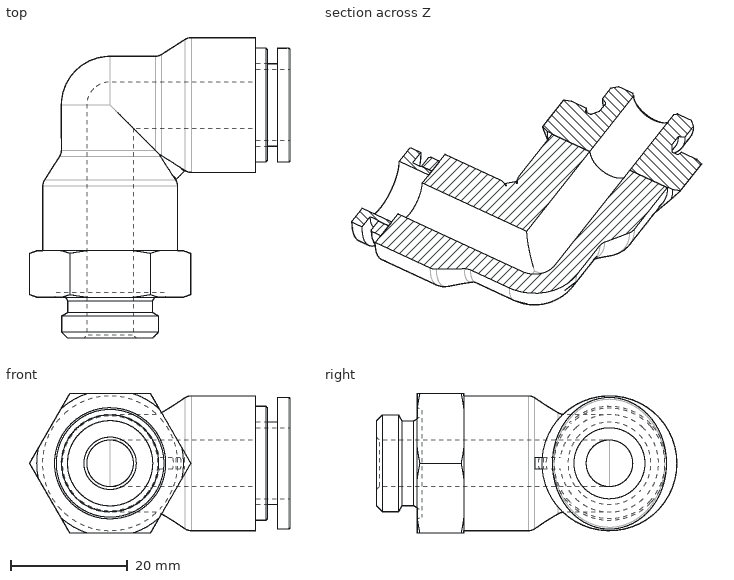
import cadquery as cq
import math


neck_radius = 8.4
socket_radius = 11.6
shoulder_start = 8.35
shoulder_end = 13.35
shoulder_fillet = 2.0
leg_length = 25.0
bore_radius = 4.0
gusset_thickness = 2.0
gusset_reach = 12.75
gusset_width = 11.35

hex_width = 24.0
hex_height = 8.0
hex_face_radius = 12.6
hex_chamfer_angle = 20.0
recess_mouth_radius = 9.55
recess_floor_radius = 9.25
recess_depth = 0.8
spigot_length = 7.0
thread_length = 3.8
thread_radius = 16.66 / 2
thread_lead_in = 1.0
relief_radius = 14.6 / 2
thread_runout_angle = 30.0
relief_start = 0.6
root_angle = 32.0
bore_chamfer = 0.5

ring_radius = 19.6 / 2
ring_length = 2.05
ring_chamfer = 0.3
collar_neck_radius = 14.2 / 2
collar_bore_radius = 12.2 / 2
collar_end = 30.9
flange_thickness = 2.2
flange_width = 19.6
flange_height = 22.6
flange_round = 0.3

hex_end = leg_length + hex_height
stud_end = hex_end + spigot_length


def turned(outline):
    """Revolve an outline about the X axis."""
    return cq.Workplane("XY").polyline(outline).close().revolve(360, (0, 0, 0), (1, 0, 0))


def rod(radius, start, end):
    """Round bar on the X axis."""
    return cq.Workplane("YZ").workplane(offset=start).circle(radius).extrude(end - start)


def onto_threaded_leg(shape):
    """Turn a shape from the +X axis onto the -Y axis."""
    return shape.rotate((0, 0, 0), (0, 0, 1), -90)


def make_leg():
    """Neck, conical shoulder with rounded ends, and socket, starting at the corner centre."""
    half_slope = math.atan2(socket_radius - neck_radius, shoulder_end - shoulder_start) / 2
    slope = 2 * half_slope
    tangent = shoulder_fillet * math.tan(half_slope)
    along = tangent * math.cos(slope)
    across = tangent * math.sin(slope)
    arc_run = shoulder_fillet * math.sin(half_slope)
    arc_rise = shoulder_fillet * (1 - math.cos(half_slope))
    return (
        cq.Workplane("XY")
        .lineTo(0, neck_radius)
        .lineTo(shoulder_start - tangent, neck_radius)
        .threePointArc(
            (shoulder_start - tangent + arc_run, neck_radius + arc_rise),
            (shoulder_start + along, neck_radius + across),
        )
        .lineTo(shoulder_end - along, socket_radius - across)
        .threePointArc(
            (shoulder_end + tangent - arc_run, socket_radius - arc_rise),
            (shoulder_end + tangent, socket_radius),
        )
        .lineTo(leg_length, socket_radius)
        .lineTo(leg_length, 0)
        .close()
        .revolve(360, (0, 0, 0), (1, 0, 0))
    )


def make_gusset():
    """Thin web that fills the inside corner, from shoulder to shoulder."""
    return (
        cq.Workplane("XY")
        .workplane(offset=-gusset_thickness / 2)
        .polyline([(0, 0), (gusset_reach, -gusset_width), (gusset_width, -gusset_reach)])
        .close()
        .extrude(gusset_thickness)
    )


def corner(leg, ball_radius):
    """A leg on each axis, joined by a ball."""
    ball = cq.Workplane("XY").sphere(ball_radius)
    return leg.union(onto_threaded_leg(leg)).union(ball)


def make_elbow():
    outside = corner(make_leg(), neck_radius).union(make_gusset())
    bore = corner(rod(bore_radius, 0, leg_length), bore_radius)
    return outside.cut(bore)


def make_hexagon():
    """Hexagon with two flats facing up and down and a cone trimming the corners at both ends."""
    corner_diameter = hex_width / math.cos(math.pi / 6)
    corner_radius = corner_diameter / 2
    setback = (corner_radius - hex_face_radius) * math.tan(math.radians(hex_chamfer_angle))
    prism = (
        cq.Workplane("YZ")
        .workplane(offset=leg_length)
        .polygon(6, corner_diameter)
        .extrude(hex_height)
    )
    trim = turned([
        (leg_length, 0),
        (leg_length, hex_face_radius),
        (leg_length + setback, corner_radius),
        (hex_end - setback, corner_radius),
        (hex_end, hex_face_radius),
        (hex_end, 0),
    ])
    return prism.intersect(trim)


def make_stud():
    recess_floor = hex_end - recess_depth
    recess = turned([
        (recess_floor, 0),
        (recess_floor, recess_floor_radius),
        (hex_end, recess_mouth_radius),
        (hex_end, 0),
    ])
    thread_start = stud_end - thread_length
    runout = (thread_radius - relief_radius) * math.tan(math.radians(thread_runout_angle))
    root_length = recess_depth + relief_start
    root_radius = relief_radius + root_length * math.tan(math.radians(root_angle))
    spigot = turned([
        (leg_length, 0),
        (leg_length, root_radius),
        (recess_floor, root_radius),
        (recess_floor + root_length, relief_radius),
        (thread_start - runout, relief_radius),
        (thread_start, thread_radius),
        (stud_end - thread_lead_in, thread_radius),
        (stud_end, thread_radius - thread_lead_in),
        (stud_end, 0),
    ])
    bore = turned([
        (leg_length, 0),
        (leg_length, bore_radius),
        (stud_end - bore_chamfer, bore_radius),
        (stud_end, bore_radius + bore_chamfer),
        (stud_end, 0),
    ])
    stud = make_hexagon().cut(recess).union(spigot).cut(bore)
    return onto_threaded_leg(stud)


def make_ring():
    ring_end = leg_length + ring_length
    ring = rod(ring_radius, leg_length, ring_end).faces(">X").edges().chamfer(ring_chamfer)
    return ring.cut(rod(collar_neck_radius, leg_length, ring_end))


def make_collar():
    flange = (
        cq.Workplane("YZ")
        .workplane(offset=collar_end - flange_thickness)
        .ellipse(flange_width / 2, flange_height / 2)
        .extrude(flange_thickness)
        .faces(">X").edges().fillet(flange_round)
    )
    neck = rod(collar_neck_radius, leg_length, collar_end)
    tube_hole = rod(collar_bore_radius, leg_length, collar_end)
    return neck.union(flange).cut(tube_hole)


elbow = make_elbow()
stud = make_stud()
ring = make_ring()
collar = make_collar()

result = cq.Compound.makeCompound([elbow.val(), stud.val(), ring.val(), collar.val()])